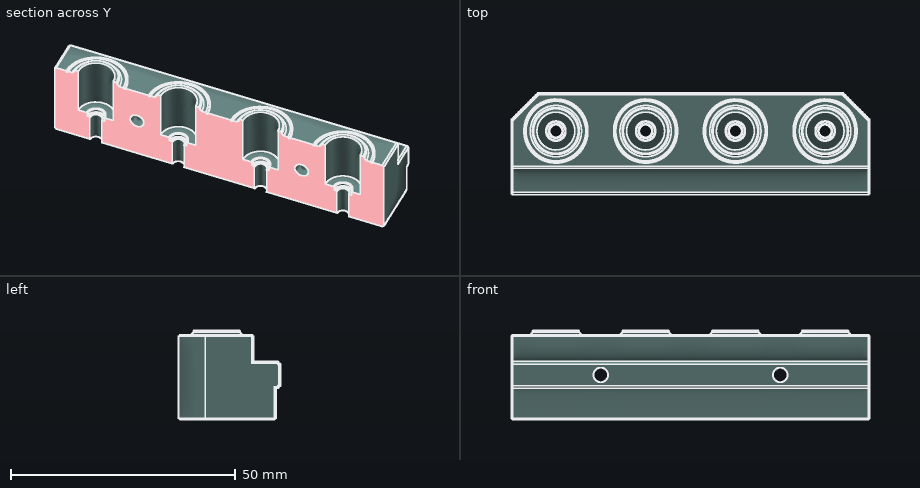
import cadquery as cq

length = 80.0
depth = 22.75
body_height = 19.0
corner_cut = 6.0
edge_chamfer = 0.4

lip_projection = 1.0
upper_setback = 6.0
lip_bottom = 7.0
lip_top = 13.0
lip_chamfer = 0.6

cross_hole_diameter = 3.2
cross_hole_count = 2
cross_hole_spacing = 40.0
cross_hole_height = 10.0

bushing_count = 4
bushing_pitch = 20.0
bushing_back_offset = 8.5
bushing_y = depth - bushing_back_offset
bushing_top = 20.0
pocket_diameter = 14.3
flange_diameter = 14.0
flange_chamfer = 0.35
neck_diameter = 10.45
neck_cone = 0.5
neck_rim_chamfer = 0.25

bore_diameter = 8.45
bore_floor = 8.0
seat_diameter = 4.1
seat_depth = 1.0
seat_chamfer = 0.2
through_diameter = 2.8
through_chamfer = 0.2


def make_body():
    side_profile = [
        (lip_projection, 0),
        (depth, 0),
        (depth, body_height),
        (upper_setback, body_height),
        (upper_setback, lip_top),
        (0, lip_top),
        (0, lip_bottom),
        (lip_projection, lip_bottom),
    ]
    block = cq.Workplane("YZ").polyline(side_profile).close().extrude(length / 2, both=True)
    block = block.edges("|Z and >Y").chamfer(corner_cut)

    block = block.faces("<Y").edges("|X").chamfer(lip_chamfer)

    cut_corners = cq.selectors.BoxSelector(
        (-length, depth - corner_cut - edge_chamfer, edge_chamfer),
        (length, depth + edge_chamfer, body_height - edge_chamfer),
    )
    rims = block.faces("<X or >X or <Z or >Z").edges(-cut_corners)
    return rims.chamfer(edge_chamfer)


def cut_cross_holes(body):
    return (
        body.faces("<Y").workplane(origin=(0, 0, cross_hole_height))
        .rarray(cross_hole_spacing, 1, cross_hole_count, 1)
        .hole(cross_hole_diameter)
    )


def make_flange_groove():
    """Ring-shaped gap between the pocket wall and the chamfered flange rim."""
    pocket_radius = pocket_diameter / 2
    flange_radius = flange_diameter / 2
    groove_floor = body_height - flange_chamfer
    return (
        cq.Workplane("XZ")
        .moveTo(flange_radius - flange_chamfer, body_height)
        .lineTo(pocket_radius, body_height)
        .lineTo(pocket_radius, groove_floor)
        .lineTo(flange_radius, groove_floor)
        .close()
        .revolve(360, (0, 0), (0, 1))
    )


def make_neck():
    neck_radius = neck_diameter / 2
    return (
        cq.Workplane("XZ")
        .moveTo(0, body_height - flange_chamfer)
        .lineTo(neck_radius + neck_cone, body_height - flange_chamfer)
        .lineTo(neck_radius + neck_cone, body_height)
        .lineTo(neck_radius, body_height + neck_cone)
        .lineTo(neck_radius, bushing_top - neck_rim_chamfer)
        .lineTo(neck_radius - neck_rim_chamfer, bushing_top)
        .lineTo(0, bushing_top)
        .close()
        .revolve(360, (0, 0), (0, 1))
    )


def make_bore():
    seat_floor = bore_floor - seat_depth
    seat_radius = seat_diameter / 2
    through_radius = through_diameter / 2
    return (
        cq.Workplane("XZ")
        .lineTo(through_radius, 0)
        .lineTo(through_radius, seat_floor - through_chamfer)
        .lineTo(through_radius + through_chamfer, seat_floor)
        .lineTo(seat_radius, seat_floor)
        .lineTo(seat_radius, bore_floor - seat_chamfer)
        .lineTo(seat_radius + seat_chamfer, bore_floor)
        .lineTo(bore_diameter / 2, bore_floor)
        .lineTo(bore_diameter / 2, bushing_top)
        .lineTo(0, bushing_top)
        .close()
        .revolve(360, (0, 0), (0, 1))
    )


result = cut_cross_holes(make_body())
first_bushing_x = -bushing_pitch * (bushing_count - 1) / 2
for index in range(bushing_count):
    position = (first_bushing_x + index * bushing_pitch, bushing_y, 0)
    result = result.cut(make_flange_groove().translate(position))
    result = result.union(make_neck().translate(position))
    result = result.cut(make_bore().translate(position))